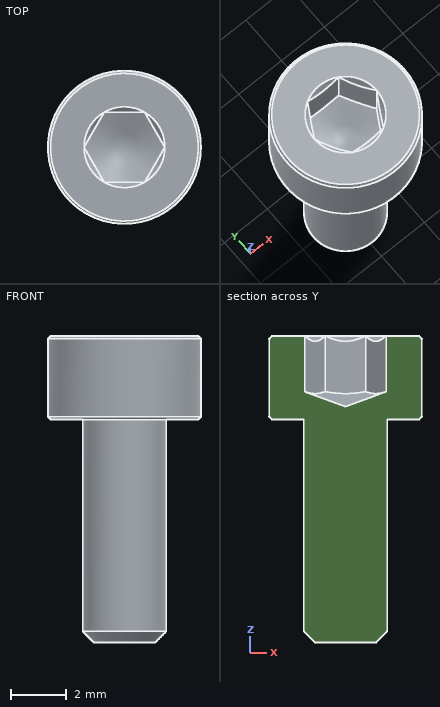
import cadquery as cq
import math

HEAD_DIAMETER = 5.5
HEAD_HEIGHT = 3.0
HEAD_CHAMFER = 0.1

SHANK_DIAMETER = 3.0
SHANK_LENGTH = 8.0
TIP_CHAMFER = 0.4

HEX_SIDES = 6
HEX_ACROSS_FLATS = 2.51
HEX_ACROSS_CORNERS = HEX_ACROSS_FLATS / math.cos(math.pi / HEX_SIDES)
SOCKET_DEPTH = 2.0
FLOOR_CONE_ANGLE = 140.0
MOUTH_SLOPE = 45.0


def make_head():
    head = cq.Workplane("XY").circle(HEAD_DIAMETER / 2).extrude(HEAD_HEIGHT)
    return head.edges("%CIRCLE").chamfer(HEAD_CHAMFER)


def make_shank():
    shank = cq.Workplane("XY").circle(SHANK_DIAMETER / 2).extrude(-SHANK_LENGTH)
    return shank.faces("<Z").edges().chamfer(TIP_CHAMFER)


def make_cone(radius, height, base_z):
    """Downward-pointing cone whose flat base lies at base_z."""
    base = cq.Vector(0, 0, base_z)
    downward = cq.Vector(0, 0, -1)
    return cq.Workplane(cq.Solid.makeCone(radius, 0, height, base, downward))


def make_socket():
    corner_radius = HEX_ACROSS_CORNERS / 2
    floor_height = corner_radius / math.tan(math.radians(FLOOR_CONE_ANGLE / 2))
    mouth_height = corner_radius * math.tan(math.radians(MOUTH_SLOPE))
    hexagon = (
        cq.Workplane("XY").workplane(offset=HEAD_HEIGHT)
        .polygon(HEX_SIDES, HEX_ACROSS_CORNERS).extrude(-(SOCKET_DEPTH + floor_height))
    )
    floor_envelope = (
        cq.Workplane("XY").workplane(offset=HEAD_HEIGHT)
        .circle(corner_radius).extrude(-SOCKET_DEPTH)
        .union(make_cone(corner_radius, floor_height, HEAD_HEIGHT - SOCKET_DEPTH))
    )
    mouth_cone = make_cone(corner_radius, mouth_height, HEAD_HEIGHT)
    return hexagon.intersect(floor_envelope).union(mouth_cone)


result = make_head().union(make_shank()).cut(make_socket())